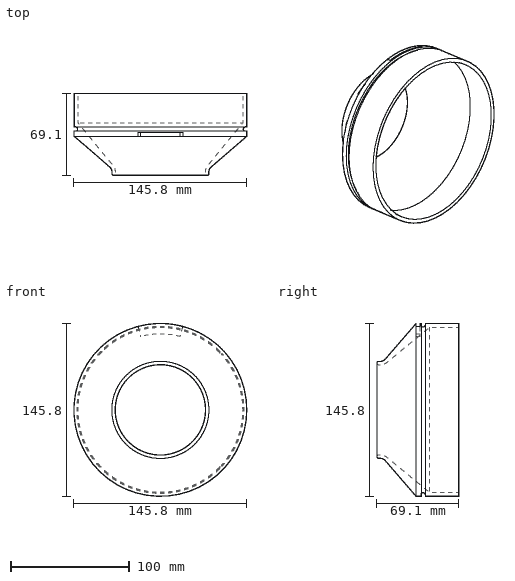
import cadquery as cq
import math


drum_radius = 72.9
drum_bore_radius = 139.0 / 2
drum_bore_depth = 24.8
drum_length = 36.2

neck_radius = 82.0 / 2
neck_bore_radius = 76.0 / 2
overall_length = 69.1
wall = neck_radius - neck_bore_radius
lip_radius = wall / 2
lip_start = overall_length - lip_radius

blend_end = 66.0
blend_radius = 5.1
bore_blend_radius = blend_radius + wall
blend_center_radius = neck_radius + blend_radius

groove_start = 28.3
groove_end = 31.6
groove_arc_radius = 2.0
groove_floor_radius = 70.0

notch_start = 33.0
notch_floor_radius = 64.2
notch_angle = 30.0


def cone_half_angle(start_radius, start_y, arc_radius):
    """Angle from the axis of the line from a drum edge tangent to a blend arc."""
    along = blend_end - start_y
    across = start_radius - blend_center_radius
    distance = math.hypot(along, across)
    return math.atan2(across, along) + math.asin(arc_radius / distance)


def blend_point(arc_radius, angle):
    """Point on a blend arc, turned by an angle away from its end at the neck."""
    return (
        blend_center_radius - arc_radius * math.cos(angle),
        blend_end - arc_radius * math.sin(angle),
    )


def make_body():
    """Revolve the wall section; sketch points are (radius, distance forward)."""
    outer_angle = cone_half_angle(drum_radius, drum_length, blend_radius)
    bore_angle = cone_half_angle(drum_bore_radius, drum_bore_depth, bore_blend_radius)
    lip_middle = (neck_radius + neck_bore_radius) / 2

    section = (
        cq.Workplane("XY")
        .moveTo(drum_bore_radius, 0)
        .lineTo(drum_radius, 0)
        .lineTo(drum_radius, drum_length)
        .lineTo(*blend_point(blend_radius, outer_angle))
        .threePointArc(blend_point(blend_radius, outer_angle / 2), (neck_radius, blend_end))
        .lineTo(neck_radius, lip_start)
        .threePointArc((lip_middle, overall_length), (neck_bore_radius, lip_start))
        .lineTo(neck_bore_radius, blend_end)
        .threePointArc(
            blend_point(bore_blend_radius, bore_angle / 2),
            blend_point(bore_blend_radius, bore_angle),
        )
        .lineTo(drum_bore_radius, drum_bore_depth)
        .close()
    )
    return section.revolve(360, (0, 0, 0), (0, 1, 0)).mirror("XZ")


def make_groove():
    """Ring removed from the drum: a round floor between two flat walls."""
    center_radius = groove_floor_radius + groove_arc_radius
    center_y = groove_start + groove_arc_radius
    front_radius = center_radius - math.sqrt(groove_arc_radius**2 - (groove_end - center_y) ** 2)
    section = (
        cq.Workplane("XY")
        .moveTo(drum_radius, groove_start)
        .lineTo(center_radius, groove_start)
        .threePointArc((groove_floor_radius, center_y), (front_radius, groove_end))
        .lineTo(drum_radius, groove_end)
        .close()
    )
    return section.revolve(360, (0, 0, 0), (0, 1, 0)).mirror("XZ")


def make_notch():
    """Ring sector removed from the land: radial ends and a floor round the axis."""

    def notch_point(radius, angle):
        return (radius * math.sin(angle), radius * math.cos(angle))

    half_angle = math.radians(notch_angle / 2)
    return (
        cq.Workplane("XZ", origin=(0, -notch_start, 0))
        .moveTo(*notch_point(drum_radius, -half_angle))
        .lineTo(*notch_point(notch_floor_radius, -half_angle))
        .threePointArc((0, notch_floor_radius), notch_point(notch_floor_radius, half_angle))
        .lineTo(*notch_point(drum_radius, half_angle))
        .threePointArc((0, drum_radius), notch_point(drum_radius, -half_angle))
        .close()
        .extrude(drum_length - notch_start)
    )


result = make_body().cut(make_groove()).cut(make_notch())